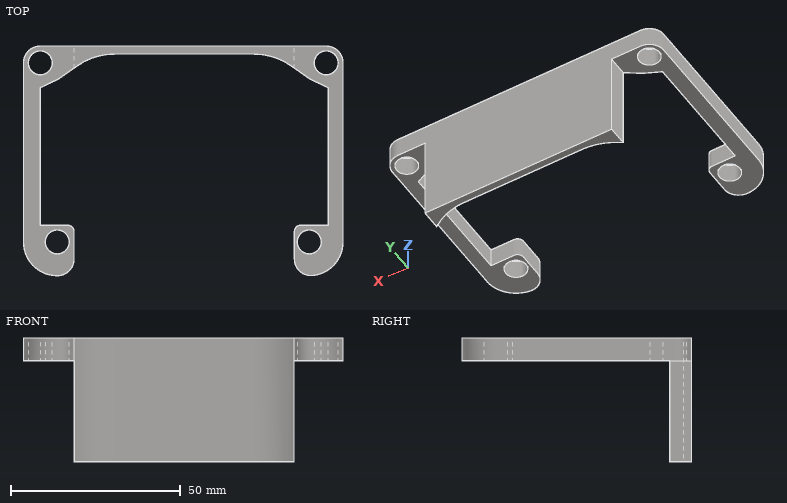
import cadquery as cq
import math

width = 94.25
depth = 67.8
height = 36.6
half_width = width / 2

inner_shift = 0.3

frame_thickness = 6.8
rail_width = 4.7
back_corner_radius = 5.0

tab_width = 14.7
tab_length = 15.0
tab_outer_radius = 10.0
tab_inner_radius = 5.0
tab_back_radius = 2.0
tab_back_y = tab_length - depth

hole_diameter = 7.0
back_hole_inset = 5.0
front_hole_inset = 10.0

wall_thickness = 2.45
flat_half_width = 20.6
blend_radius = 18.85
blend_angle = math.radians(35)
web_bend_inset = 10.1
web_corner_depth = 12.3


def blend_point(flat_end_x, angle):
    """Point on the blend arc after turning by angle from the flat wall."""
    return (
        flat_end_x + blend_radius * math.sin(angle),
        -wall_thickness - blend_radius * (1 - math.cos(angle)),
    )


def tab_tangent_point(tab_inner_x):
    """Point where the tab's inner rounding meets its large outer arc, and the rounding's center y."""
    outer_x = half_width - tab_outer_radius
    outer_y = tab_outer_radius - depth
    center_distance = tab_outer_radius - tab_inner_radius
    offset_x = tab_inner_x + tab_inner_radius - outer_x
    offset_y = -math.sqrt(center_distance**2 - offset_x**2)
    reach = tab_outer_radius / center_distance
    tangent_point = (outer_x + offset_x * reach, outer_y + offset_y * reach)
    return tangent_point, outer_y + offset_y


def half_outline(shift):
    """Solid of one half on +X over the full height, before its back corners are rounded."""
    tab_inner_x = half_width - tab_width + shift
    rail_inner_x = half_width - rail_width + shift
    flat_end_x = flat_half_width + shift
    blend_end = blend_point(flat_end_x, blend_angle)
    web_bend_x = half_width - web_bend_inset + shift
    web_bend_y = blend_end[1] - (web_bend_x - blend_end[0]) * math.tan(blend_angle)
    tangent_point, rounding_y = tab_tangent_point(tab_inner_x)
    return (
        cq.Workplane("XY")
        .moveTo(0, 0)
        .lineTo(half_width, 0)
        .lineTo(half_width, tab_outer_radius - depth)
        .tangentArcPoint(tangent_point, relative=False)
        .tangentArcPoint((tab_inner_x, rounding_y), relative=False)
        .lineTo(tab_inner_x, tab_back_y)
        .lineTo(rail_inner_x, tab_back_y)
        .lineTo(rail_inner_x, -web_corner_depth)
        .lineTo(web_bend_x, web_bend_y)
        .lineTo(*blend_end)
        .threePointArc(blend_point(flat_end_x, blend_angle / 2), (flat_end_x, -wall_thickness))
        .lineTo(0, -wall_thickness)
        .close()
        .extrude(-height)
    )


def round_edge(body, x, y, radius):
    """Round the vertical edge nearest to (x, y)."""
    edge = cq.selectors.NearestToPointSelector((x, y, -height / 2))
    return body.edges("|Z").edges(edge).fillet(radius)


def clear_below_frame(wall_end_x):
    """Space under the frame beyond the end of the back wall."""
    return (
        cq.Workplane("XY", origin=(wall_end_x, 0, -height))
        .rect(half_width - wall_end_x, -depth, centered=False)
        .extrude(height - frame_thickness)
    )


def mounting_holes():
    """Through holes at the back corner and in the front tab."""
    centers = [
        (half_width - back_hole_inset, -back_hole_inset),
        (half_width - front_hole_inset, front_hole_inset - depth),
    ]
    return (
        cq.Workplane("XY")
        .pushPoints(centers)
        .circle(hole_diameter / 2)
        .extrude(-height)
    )


def bracket_half(shift):
    """One half on +X, with its inner profile moved outward by shift."""
    tab_inner_x = half_width - tab_width + shift
    half = half_outline(shift)
    half = round_edge(half, half_width, 0, back_corner_radius)
    half = round_edge(half, tab_inner_x, tab_back_y, tab_back_radius)
    return half.cut(clear_below_frame(tab_inner_x)).cut(mounting_holes())


right_half = bracket_half(inner_shift)
left_half = bracket_half(-inner_shift).mirror("YZ")
result = right_half.union(left_half).clean()